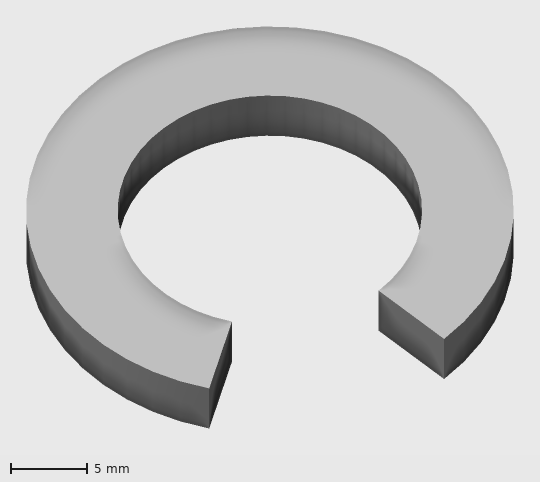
import cadquery as cq
import math

outer_diameter = 32.0
wall_width = 6.0
thickness = 4.0
gap_angle = 60.0

outer_radius = outer_diameter / 2
inner_radius = outer_radius - wall_width
half_gap = math.radians(gap_angle / 2)


def gap_edge_point(radius, side):
    """Point where a circle meets the gap; side is +1 for +Y, -1 for -Y."""
    return (radius * math.cos(half_gap), side * radius * math.sin(half_gap))


result = (
    cq.Workplane("XY")
    .moveTo(*gap_edge_point(outer_radius, 1))
    .threePointArc((-outer_radius, 0), gap_edge_point(outer_radius, -1))
    .lineTo(*gap_edge_point(inner_radius, -1))
    .threePointArc((-inner_radius, 0), gap_edge_point(inner_radius, 1))
    .close()
    .extrude(thickness)
)